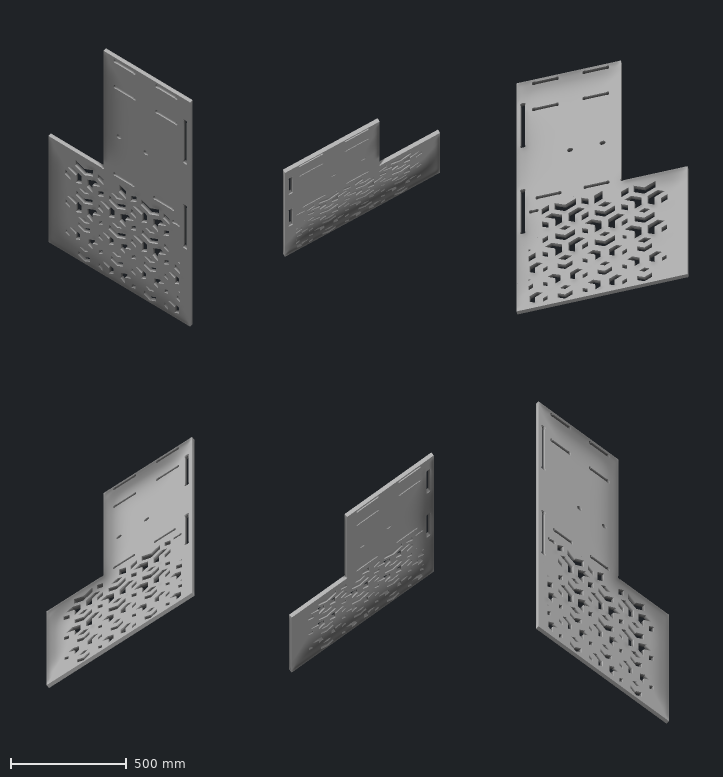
import cadquery as cq
import math

panel_width = 768.0
panel_height = 1584.0
thickness = 17.0
upper_left = 300.0
shoulder_height = 750.0

slot_gap = 19.0
relief_radius = 8.5
relief_inset = relief_radius / math.sqrt(2)
shelf_slots = [
    (412.0, 1557.0, 115.0),
    (638.0, 1557.0, 115.0),
    (412.0, 1376.0, 115.0),
    (638.0, 1376.0, 115.0),
    (409.0, 759.0, 111.0),
    (624.0, 759.0, 111.0),
]
side_slot_x = 740.0
side_slot_length = 304.0
side_slot_heights = [1283.0, 685.0]
small_slot_x = 690.0
small_slot_height = 670.0
small_slot_length = 38.0
small_slot_gap = 17.0

hole_diameter = 27.0
hole_height = 1040.0
hole_places = [382.0, 527.0]
pin_diameter = 3.0
pin_holes = [(513.0, 711.0), (673.0, 483.0)]

cell_pitch = 119.0
row_pitch = cell_pitch * math.sqrt(3) / 2
cell_radius = cell_pitch / math.sqrt(3)
odd_row_shift = 1.5 * cell_pitch
first_upright_x = 193.0
top_row_height = 680.0
pattern_right = 715.0

row_borders = [
    (0.12, 0.11, 0.09, 0.09, 0.09),
    (0.12, 0.12, 0.12, 0.12, 0.12),
    (0.14, 0.14, 0.12, 0.12, 0.12),
    (0.14, 0.14, 0.12, 0.12, 0.12),
    (0.12, 0.16, 0.13, 0.16, 0.22),
    (0.15, 0.16, 0.12, 0.18, 0.22),
    (0.15, 0.16, 0.13, 0.16, 0.22),
]

narrow_rhombus_cell = (3, -1)
narrow_rhombus_border = 0.17
cell_without_chevron = (2, 4)

UPRIGHT = 0
LEANING_LEFT = 120
LEANING_RIGHT = 240
TURNS = (UPRIGHT, LEANING_LEFT, LEANING_RIGHT)


def cutter(points):
    """Prism through the plate with the given x, z outline."""
    return cq.Workplane("XZ").polyline(points).close().extrude(-thickness)


def block(left, right, bottom, top):
    """Rectangular prism through the plate."""
    return cutter([(left, bottom), (right, bottom), (right, top), (left, top)])


def disc(x, z, radius):
    """Round prism through the plate."""
    return cq.Workplane("XZ").center(x, z).circle(radius).extrude(-thickness)


def slot(x, z, length, gap):
    """Rectangular slot with round relief in its four corners."""
    cut = block(x - length / 2, x + length / 2, z - gap / 2, z + gap / 2)
    for side in (-1, 1):
        for level in (-1, 1):
            relief_x = x + side * (length / 2 - relief_inset)
            relief_z = z + level * (gap / 2 - relief_inset)
            cut = cut.union(disc(relief_x, relief_z, relief_radius))
    return cut


def place(outline, x, z, turn):
    """Turn outline points about the cell centre and move them to the cell."""
    cosine = math.cos(math.radians(turn))
    sine = math.sin(math.radians(turn))
    return [(x + cosine * u - sine * v, z + sine * u + cosine * v) for u, v in outline]


def rhombus(border):
    """Upper face of the cube, pulled in by the border on all sides."""
    half_width = cell_pitch / 2 - 2 * border
    half_height = half_width / math.sqrt(3)
    middle = cell_radius / 2
    return [
        (-half_width, middle),
        (0, middle - half_height),
        (half_width, middle),
        (0, middle + half_height),
    ]


def chevron(inner_border, outer_border, end_border):
    """Two lower faces of the cube joined, pulled in by a border on each side."""
    half_width = cell_pitch / 2 - end_border
    rise = half_width / math.sqrt(3)
    notch = -inner_border * 2 / math.sqrt(3)
    tip = outer_border * 2 / math.sqrt(3) - cell_radius
    return [
        (0, notch),
        (half_width, notch + rise),
        (half_width, tip + rise),
        (0, tip),
        (-half_width, tip + rise),
        (-half_width, notch + rise),
    ]


def cells_in_row(row):
    """Cell numbers of a row, counted from the first upright cell, which is number 0."""
    if row % 2 == 0:
        return range(0, 5)
    if row == 1:
        return range(-2, 3)
    return range(-2, 4)


def cell_openings(row, number, x, z):
    """Outlines of the openings in one cell."""
    turn = TURNS[number % 3]
    upright, tilted, inner, outer, end = [share * cell_pitch for share in row_borders[row]]
    top_row = row == 0
    outlines = []

    if not (top_row and turn == UPRIGHT):
        border = upright if turn == UPRIGHT else tilted
        if (row, number) == narrow_rhombus_cell:
            border = narrow_rhombus_border * cell_pitch
        outlines.append(place(rhombus(border), x, z, turn))

    if turn == LEANING_LEFT and (top_row or (row, number) == cell_without_chevron):
        return outlines
    outline = chevron(inner, outer, end)
    if top_row and turn == LEANING_RIGHT:
        outline = outline[:4]
    outlines.append(place(outline, x, z, turn))
    return outlines


def pattern():
    """All openings of the pattern, cut off along its right side."""
    openings = []
    for row in range(len(row_borders)):
        z = top_row_height - row * row_pitch
        row_start = first_upright_x + (row % 2) * odd_row_shift
        for number in cells_in_row(row):
            x = row_start + number * cell_pitch
            openings += [cutter(outline) for outline in cell_openings(row, number, x, z)]
    limit = block(0, pattern_right, 0, panel_height)
    return [limit.intersect(opening) for opening in openings]


def panel():
    """Plate with its upper part cut back on the left."""
    return cutter([
        (0, 0),
        (panel_width, 0),
        (panel_width, panel_height),
        (upper_left, panel_height),
        (upper_left, shoulder_height),
        (0, shoulder_height),
    ])


cuts = [slot(x, z, length, slot_gap) for x, z, length in shelf_slots]
cuts += [slot(side_slot_x, z, slot_gap, side_slot_length) for z in side_slot_heights]
cuts.append(slot(small_slot_x, small_slot_height, small_slot_length, small_slot_gap))
cuts += [disc(x, hole_height, hole_diameter / 2) for x in hole_places]
cuts += [disc(x, z, pin_diameter / 2) for x, z in pin_holes]
cuts.append(disc(upper_left - relief_inset, shoulder_height + relief_inset, relief_radius))
cuts += pattern()

result = panel()
for cut in cuts:
    result = result.cut(cut)